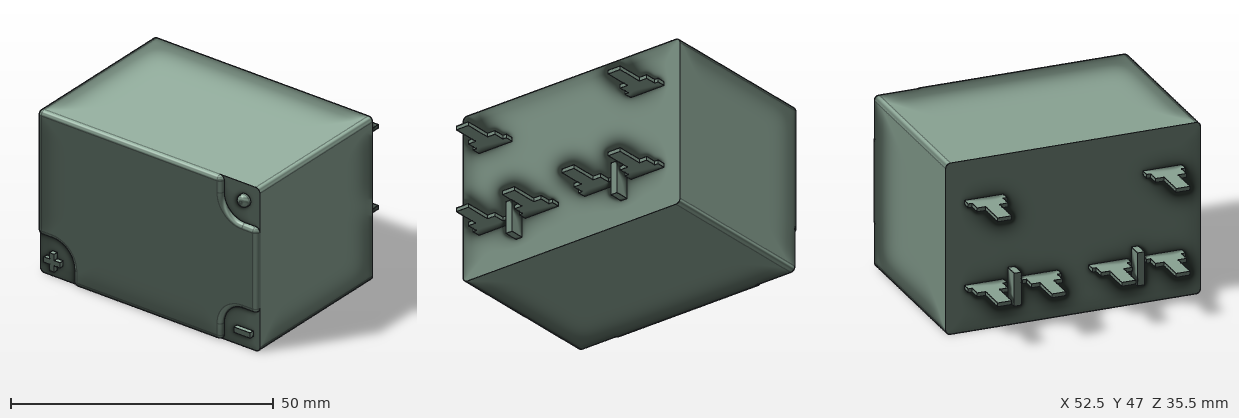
import cadquery as cq

case_width = 52.5
case_height = 35.5
case_depth = 36.35
edge_radius = 1.0
fillet_margin = 0.005

recess_depth = edge_radius + fillet_margin
recess_size = 8.5
recess_corner_radius = 5.0

mark_inset = 3.5
mark_length = 3.9
mark_thickness = 1.15
mark_height = 1.0
button_diameter = 2.7
button_height = 1.4
button_edge_radius = 1.0

blade_thickness = 0.8
blade_length = 10.25
blade_base_width = 8.05
blade_shoulder_width = 6.4
blade_tip_width = 2.9
blade_base_length = 1.85
blade_shoulder_length = 4.3
outer_blade_x = 18.4
inner_blade_x = 7.2
upper_row_z = case_height / 2 - 8.6
lower_row_z = upper_row_z - 17.6

rib_width = 1.45
rib_length = 3.1
rib_height = 6.8
rib_x = 12.7
rib_z = -case_height / 2 + 8.5

floor_y = recess_depth - case_depth
mark_x = case_width / 2 - mark_inset
mark_z = case_height / 2 - mark_inset


def case_block(start_y, length):
    """Sharp block with the case outline, running from start_y towards the front."""
    return cq.Workplane("XZ", origin=(0, start_y, 0)).rect(case_width, case_height).extrude(length)


def corner_cutter(side_x, side_z):
    """Recess volume for the front corner on the given X and Z sides (+1 or -1)."""
    size = 2 * recess_size
    return (
        cq.Workplane("XZ", origin=(side_x * case_width / 2, floor_y, side_z * case_height / 2))
        .rect(size, size)
        .extrude(recess_depth)
        .edges("|Y")
        .fillet(recess_corner_radius)
    )


def front_plate():
    """Raised front panel with three recessed corners and a rounded front rim."""
    plate = case_block(floor_y, recess_depth)
    for side_x, side_z in ((1, 1), (1, -1), (-1, -1)):
        plate = plate.cut(corner_cutter(side_x, side_z))
    outer_corners = plate.faces(">X or <X or >Z or <Z").edges("|Y")
    plate = outer_corners.fillet(edge_radius)
    return plate.faces("<Y").edges().fillet(edge_radius)


def raised_bar(x, z, width, height):
    """Rectangular bar standing on a recess floor."""
    return cq.Workplane("XZ", origin=(x, floor_y, z)).rect(width, height).extrude(mark_height)


def button():
    """Round button with a rounded rim in the upper right recess."""
    return (
        cq.Workplane("XZ", origin=(mark_x, floor_y, mark_z))
        .circle(button_diameter / 2)
        .extrude(button_height)
        .faces("<Y")
        .edges()
        .fillet(button_edge_radius)
    )


def blade(x, z):
    """Flat terminal stepping from a wide base through a shoulder to a narrow tip."""
    steps = (
        (blade_base_width, blade_base_length),
        (blade_shoulder_width, blade_shoulder_length),
        (blade_tip_width, blade_length),
    )
    terminal = cq.Workplane("XY")
    for width, length in steps:
        step = cq.Workplane("XY").box(width, length, blade_thickness, centered=(True, False, True))
        terminal = terminal.union(step)
    return terminal.translate((x, 0, z))


def rib(x):
    """Upright insulating rib on the back face."""
    return (
        cq.Workplane("XY")
        .box(rib_width, rib_length, rib_height, centered=(True, False, True))
        .translate((x, 0, rib_z))
    )


case_body = case_block(0, -floor_y).edges("|Y").fillet(edge_radius)
result = case_body.union(front_plate())

result = result.union(raised_bar(-mark_x, -mark_z, mark_length, mark_thickness))
result = result.union(raised_bar(-mark_x, -mark_z, mark_thickness, mark_length))
result = result.union(raised_bar(mark_x, -mark_z, mark_length, mark_thickness))
result = result.union(button())

for side in (-1, 1):
    result = result.union(blade(side * outer_blade_x, upper_row_z))
    result = result.union(blade(side * outer_blade_x, lower_row_z))
    result = result.union(blade(side * inner_blade_x, lower_row_z))
    result = result.union(rib(side * rib_x))